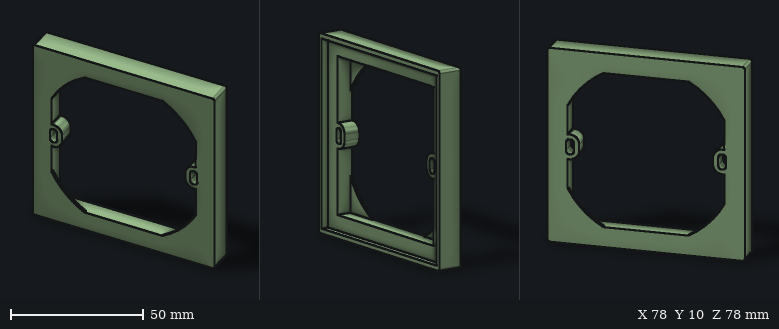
import cadquery as cq

side = 78.0
depth = 10.0
corner_radius = 1.0
opening_side = 61.8

opening_depth = 7.0
rim_thickness = 2.0
recess_side = side - 2 * rim_thickness
recess_depth = depth - opening_depth

web_thickness = 1.0
web_circle_radius = 35.1

lug_offset = 30.0
lug_width = 7.3
lug_height = 10.0
slot_width = 3.05
slot_height = 6.1

front_y = -depth / 2


def block(width, height, length, x=0):
    """Box reaching back from the front face."""
    return (
        cq.Workplane("XY")
        .box(width, length, height, centered=(True, False, True))
        .translate((x, front_y, 0))
    )


def upright_slot(width, height, x):
    """Prism as deep as the opening, with rounded ends, long along Z."""
    return (
        cq.Workplane("XZ", origin=(x, front_y, 0))
        .slot2D(height, width, 90)
        .extrude(-opening_depth)
    )


def make_frame():
    outer = block(side, side, depth).edges("|Y").fillet(corner_radius)
    recess = block(recess_side, recess_side, recess_depth).translate((0, opening_depth, 0))
    return outer.cut(block(opening_side, opening_side, opening_depth)).cut(recess)


def make_corner_webs():
    circle = (
        cq.Workplane("XZ", origin=(0, front_y, 0))
        .circle(web_circle_radius)
        .extrude(-web_thickness)
    )
    return block(opening_side, opening_side, web_thickness).cut(circle)


def make_lug(direction):
    """Rounded lug joined squarely to its wall; direction is -1 or 1 along X."""
    rounded = upright_slot(lug_width, lug_height, direction * lug_offset)
    root_width = lug_width / 2
    root_x = direction * (lug_offset + root_width / 2)
    return rounded.union(block(root_width, lug_height, opening_depth, root_x))


result = make_frame().union(make_corner_webs())
for direction in (-1, 1):
    result = result.union(make_lug(direction))
    result = result.cut(upright_slot(slot_width, slot_height, direction * lug_offset))